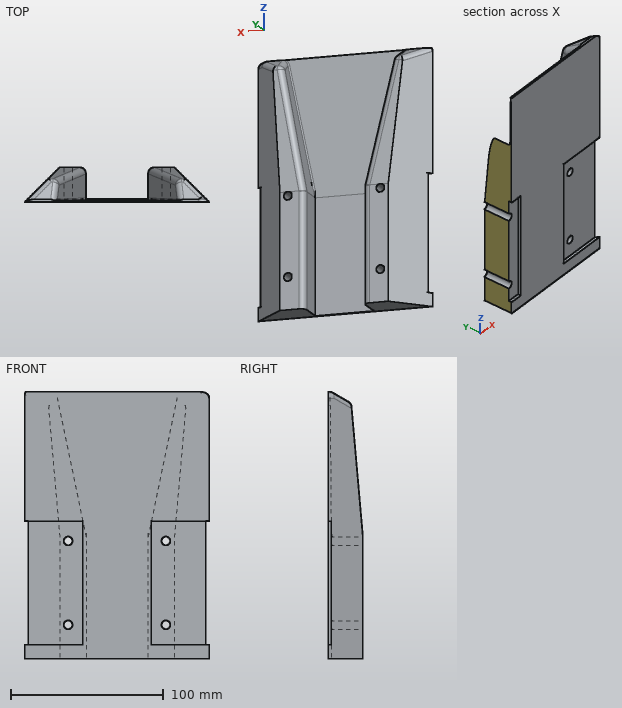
import cadquery as cq
import math

width = 121.0
half_width = width / 2
height = 175.0
depth = 23.0

bend_height = 80.0
taper_angle = 5.0
channel_half_width = 20.3
channel_top_half_width = 40.0

top_edge_depth = 2.0
top_slope_angle = 60.0

floor_bottom_depth = 2.1
floor_top_depth = 1.2

rail_round = 4.2
floor_round = 0.9

pocket_depth = 2.3
pocket_inner_x = 22.5
pocket_bottom = 9.3
pocket_top = 90.1

hole_diameter = 5.6
hole_x = 32.0
hole_heights = (22.2, 77.2)

taper_tan = math.tan(math.radians(taper_angle))
slope_tan = math.tan(math.radians(top_slope_angle))
tip_drop = (depth - top_edge_depth - (height - bend_height) * taper_tan) / (slope_tan - taper_tan)
tip_height = height - tip_drop
tip_depth = top_edge_depth + tip_drop * slope_tan


def flank_x(y):
    """Outer side of a rail, which leans in at 45 degrees."""
    return half_width - y


def leaning_wall_x(z):
    """Inner wall of a rail above the bend, where the channel widens."""
    flare = (channel_top_half_width - channel_half_width) / (height - bend_height)
    return channel_half_width + (z - bend_height) * flare


def rail_profile():
    """Depth outline seen along X, over the right half of the part."""
    outline = [
        (0, 0),
        (depth, 0),
        (depth, bend_height),
        (tip_depth, tip_height),
        (top_edge_depth, height),
        (0, height),
    ]
    return cq.Workplane("YZ").polyline(outline).close().extrude(half_width)


def flank_section():
    """Cross section with the 45 degree flank, over the full height."""
    outline = [(0, 0), (half_width, 0), (flank_x(depth), depth), (0, depth)]
    return cq.Workplane("XY").polyline(outline).close().extrude(height)


def half_channel(top_half_width):
    """Right half of the space between the rails, above a floor that thins toward the top."""
    plan_points = [
        (0, 0),
        (channel_half_width, 0),
        (channel_half_width, bend_height),
        (top_half_width, height),
        (0, height),
    ]
    side_points = [
        (floor_bottom_depth, 0),
        (depth, 0),
        (depth, height),
        (floor_top_depth, height),
        (floor_bottom_depth, bend_height),
    ]
    plan = cq.Workplane("XZ").polyline(plan_points).close().extrude(-depth)
    side = cq.Workplane("YZ").polyline(side_points).close().extrude(half_width)
    return plan.intersect(side)


def edges_between(body, corner_pairs):
    """The straight edge of the body that joins each pair of corners."""
    picked = body.newObject([])
    for start, end in corner_pairs:
        middle = (cq.Vector(*start) + cq.Vector(*end)) * 0.5
        picked = picked.add(body.edges(cq.NearestToPointSelector(middle.toTuple())))
    return picked


def half_body(round_plate_corner):
    """Right half of the part with its rounded rail."""
    body = rail_profile().intersect(flank_section()).cut(half_channel(channel_top_half_width))

    inner_bottom = (channel_half_width, depth, 0)
    inner_bend = (channel_half_width, depth, bend_height)
    inner_tip = (leaning_wall_x(tip_height), tip_depth, tip_height)
    outer_tip = (flank_x(tip_depth), tip_depth, tip_height)
    inner_top = (channel_top_half_width, top_edge_depth, height)
    outer_top = (flank_x(top_edge_depth), top_edge_depth, height)
    plate_corner = (half_width, 0, height)

    rounded = [
        (inner_bottom, inner_bend),
        (inner_bend, inner_tip),
        (inner_tip, inner_top),
        (inner_tip, outer_tip),
        (outer_tip, outer_top),
    ]
    if round_plate_corner:
        rounded.append((outer_top, plate_corner))
    body = edges_between(body, rounded).fillet(rail_round)

    floor_bottom = (channel_half_width, floor_bottom_depth, 0)
    floor_bend = (channel_half_width, floor_bottom_depth, bend_height)
    floor_top = (channel_top_half_width, floor_top_depth, height)
    floor_edges = [(floor_bottom, floor_bend), (floor_bend, floor_top)]
    body = edges_between(body, floor_edges).fillet(floor_round)
    return body.cut(half_channel(channel_half_width))


def pocket(side):
    """Shallow recess in the front of one rail; side is 1 at the right and -1 at the left."""
    pocket_width = half_width - pocket_inner_x
    pocket_height = pocket_top - pocket_bottom
    middle_x = side * (pocket_inner_x + pocket_width / 2)
    middle_z = pocket_bottom + pocket_height / 2
    return (
        cq.Workplane("XZ")
        .center(middle_x, middle_z)
        .rect(pocket_width, pocket_height)
        .extrude(-pocket_depth)
    )


def screw_holes():
    """Four holes from front to back."""
    points = [(side * hole_x, z) for side in (-1, 1) for z in hole_heights]
    return cq.Workplane("XZ").pushPoints(points).circle(hole_diameter / 2).extrude(-depth)


right_half = half_body(round_plate_corner=True)
left_half = half_body(round_plate_corner=False).mirror("YZ")
body = right_half.union(left_half).clean()
for side in (-1, 1):
    body = body.cut(pocket(side))
result = body.cut(screw_holes())